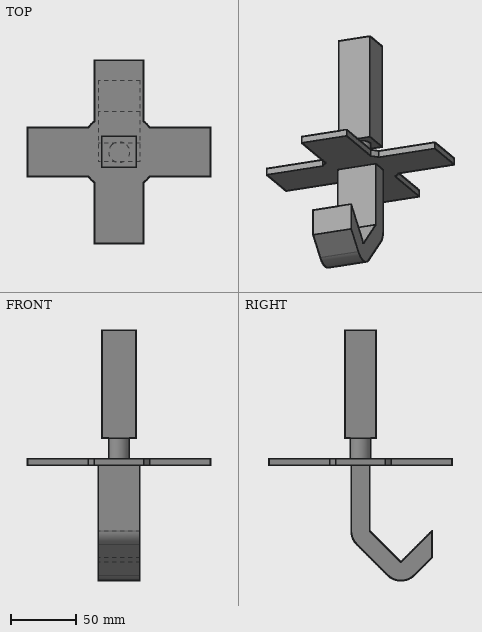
import cadquery as cq
import math

total_height = 191.4
plate_span = 140.0

plate_thickness = 5.2
arm_width = 37.5
hub_diameter = 60.0

handle_width = 26.0
handle_depth = 23.7
handle_height = 82.5
neck_diameter = 15.9

strip_width = 31.8
strip_thickness = 14.4
shank_length = 50.0
bend_run = 23.7
bend_slope = math.radians(45)

bend_drop = bend_run * math.tan(bend_slope)
hook_height = shank_length + bend_drop + strip_thickness
neck_height = total_height - hook_height - plate_thickness - handle_height


def make_plate():
    arm_x = cq.Workplane("XY").rect(plate_span, arm_width).extrude(plate_thickness)
    arm_y = cq.Workplane("XY").rect(arm_width, plate_span).extrude(plate_thickness)
    hub = cq.Workplane("XY").circle(hub_diameter / 2).extrude(plate_thickness)
    return arm_x.union(arm_y).union(hub)


def make_handle():
    neck = (
        cq.Workplane("XY", origin=(0, 0, plate_thickness))
        .circle(neck_diameter / 2)
        .extrude(neck_height)
    )
    grip = (
        cq.Workplane("XY", origin=(0, 0, plate_thickness + neck_height))
        .rect(handle_width, handle_depth)
        .extrude(handle_height)
    )
    return neck.union(grip)


def make_hook():
    inner_y = strip_thickness / 2
    bend = (inner_y, -shank_length)
    valley = (inner_y + bend_run, -shank_length - bend_drop)
    tip = (inner_y + 2 * bend_run, -shank_length)
    tip_face_height = strip_thickness / math.cos(bend_slope)

    def on_arc(center, angle):
        return (
            center[0] + strip_thickness * math.cos(angle),
            center[1] + strip_thickness * math.sin(angle),
        )

    straight_down = -math.pi / 2
    rising_normal = straight_down + bend_slope
    falling_normal = straight_down - bend_slope
    shank_normal = -math.pi

    return (
        cq.Workplane("YZ")
        .moveTo(inner_y, 0)
        .lineTo(*bend)
        .lineTo(*valley)
        .lineTo(*tip)
        .lineTo(tip[0], tip[1] - tip_face_height)
        .lineTo(*on_arc(valley, rising_normal))
        .threePointArc(on_arc(valley, straight_down), on_arc(valley, falling_normal))
        .lineTo(*on_arc(bend, falling_normal))
        .threePointArc(
            on_arc(bend, (falling_normal + shank_normal) / 2),
            on_arc(bend, shank_normal),
        )
        .lineTo(inner_y - strip_thickness, 0)
        .close()
        .extrude(strip_width / 2, both=True)
    )


result = make_plate().union(make_handle()).union(make_hook())